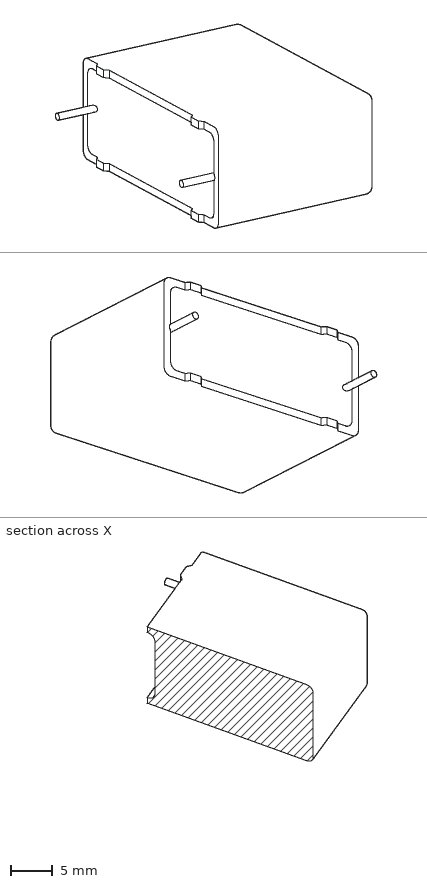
import cadquery as cq


case_width = 30.0
case_height = 13.0
height_over_feet = 23.0
edge_radius = 1.0

foot_length = 0.5
foot_base_width = 2.6
foot_offset_from_side = 4.5

rim_width = 1.0
recess_depth = 1.0
recess_floor_radius = 0.999
recess_corner_radius = 1.0

lead_pitch = 27.5
lead_diameter = 0.9
lead_length_past_feet = 4.0

rim_y = foot_length
floor_y = rim_y + recess_depth
case_depth = height_over_feet - foot_length
foot_x = case_width / 2 - foot_offset_from_side


def box_from(width, height, depth, start_y):
    """Box centred on X and Z, running from start_y toward +Y."""
    return cq.Workplane("XY").box(width, depth, height).translate((0, start_y + depth / 2, 0))


def make_case():
    """Solid block with every edge rounded except those of the lead face."""
    block = box_from(case_width, case_height, case_depth, rim_y)
    return block.edges("|Y or >Y").fillet(edge_radius)


def make_recess():
    """Cutter for the recess, rounded at its corners and around its floor."""
    width = case_width - 2 * rim_width
    height = case_height - 2 * rim_width
    cutter = box_from(width, height, recess_depth, rim_y)
    return cutter.edges("|Y").fillet(recess_corner_radius).faces(">Y").edges().fillet(recess_floor_radius)


def make_foot(center_x, bottom_z):
    """Trapezoidal foot as thick as the rim, standing on the lead face."""
    half_base = foot_base_width / 2
    half_tip = half_base - foot_length
    outline = [
        (center_x - half_base, rim_y),
        (center_x - half_tip, 0),
        (center_x + half_tip, 0),
        (center_x + half_base, rim_y),
    ]
    return cq.Workplane("XY", origin=(0, 0, bottom_z)).polyline(outline).close().extrude(rim_width)


def make_lead(center_x):
    """Round lead from the recess floor to its free end."""
    plane = cq.Workplane("XZ", origin=(center_x, floor_y, 0))
    return plane.circle(lead_diameter / 2).extrude(floor_y + lead_length_past_feet)


result = make_case().cut(make_recess())
for side in (-1, 1):
    for bottom_z in (-case_height / 2, case_height / 2 - rim_width):
        result = result.union(make_foot(side * foot_x, bottom_z))
    result = result.union(make_lead(side * lead_pitch / 2))